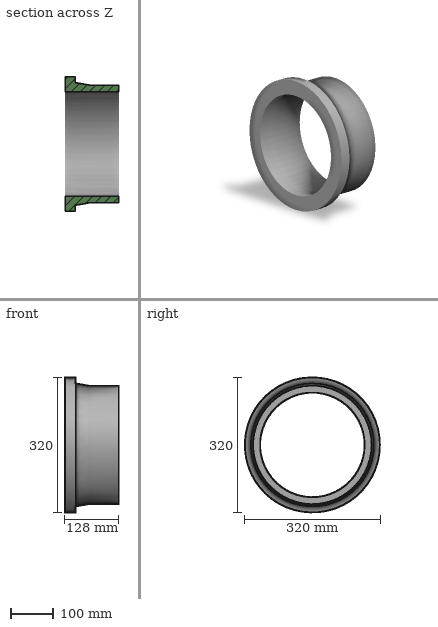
import cadquery as cq

flange_diameter = 320.0
total_length = 128.0
flange_thickness = 25.5

hub_diameter = 280.0
neck_diameter = 291.2
neck_length = 32.0
bore_diameter = 246.7

flange_radius = flange_diameter / 2
hub_radius = hub_diameter / 2
neck_radius = neck_diameter / 2
bore_radius = bore_diameter / 2
neck_end = flange_thickness + neck_length

section = (
    cq.Workplane("XY")
    .moveTo(0, bore_radius)
    .lineTo(0, flange_radius)
    .lineTo(flange_thickness, flange_radius)
    .lineTo(flange_thickness, neck_radius)
    .lineTo(neck_end, hub_radius)
    .lineTo(total_length, hub_radius)
    .lineTo(total_length, bore_radius)
    .close()
)

result = section.revolve(360, (0, 0, 0), (1, 0, 0))